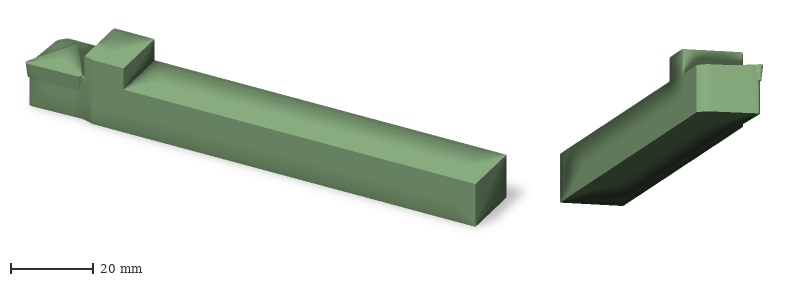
import cadquery as cq
import math

length = 124.4
width = 16.0
shank_height = 12.1
seat_height = 11.7
shoulder_height = 18.0
shoulder_start = 16.2
shoulder_end = 27.4

end_lean = 3.5
end_x = 0.7
head_front_y = 0.6
front_corner_radius = 0.7
relief_start = 14.4
relief_end = 18.7
back_chamfer_x = 3.5
back_corner_radius = 2.6

insert_thickness = 4.0
insert_turn = 1.5
insert_clearance = 7.0
nose_radius = 0.81
nose_spacing = 13.6


def polar(start, distance, angle):
    """Point at a distance and an angle in degrees from a start point."""
    a = math.radians(angle)
    return (start[0] + distance * math.cos(a), start[1] + distance * math.sin(a))


def make_blank():
    """Head and shank outline at full shoulder height."""
    lean = math.tan(math.radians(end_lean))
    corner_y = (width - back_chamfer_x + end_x - head_front_y * lean) / (1 - lean)
    corner_x = end_x + (corner_y - head_front_y) * lean
    front_rise = (relief_start - end_x) * math.tan(math.radians(insert_turn))
    blank = (
        cq.Workplane("XY")
        .moveTo(end_x, head_front_y)
        .lineTo(relief_start, head_front_y + front_rise)
        .tangentArcPoint((relief_end, 0), relative=False)
        .lineTo(length, 0)
        .lineTo(length, width)
        .lineTo(back_chamfer_x, width)
        .lineTo(corner_x, corner_y)
        .close()
        .extrude(shoulder_height)
    )
    tall = shoulder_height / 2
    blank = blank.edges(cq.NearestToPointSelector((end_x, head_front_y, tall))).fillet(front_corner_radius)
    return blank.edges(cq.NearestToPointSelector((corner_x, corner_y, tall))).fillet(back_corner_radius)


def box_above(x_start, x_end, z):
    """Block that clears everything above z between two X positions."""
    return cq.Workplane("XY").box(
        x_end - x_start, width, shoulder_height - z, centered=False
    ).translate((x_start, 0, z))


def insert_outline(inset):
    """Triangle with two rounded front noses and a sharp rear corner."""
    radius = nose_radius - inset
    left = (nose_radius, nose_radius)
    right = polar(left, nose_spacing, insert_turn)
    apex_center = polar(left, nose_spacing, insert_turn + 60)
    return [
        polar(left, radius, insert_turn - 90),
        polar(right, radius, insert_turn - 90),
        polar(right, radius, insert_turn - 30),
        polar(right, radius, insert_turn + 30),
        polar(apex_center, 2 * radius, insert_turn + 90),
        polar(left, radius, insert_turn + 150),
        polar(left, radius, insert_turn + 210),
    ]


def draw_insert_outline(plane, inset):
    front_left, front_right, right_nose, right_side, apex, left_side, left_nose = insert_outline(inset)
    return (
        plane.moveTo(*front_left)
        .lineTo(*front_right)
        .threePointArc(right_nose, right_side)
        .lineTo(*apex)
        .lineTo(*left_side)
        .threePointArc(left_nose, front_left)
        .close()
    )


def make_insert():
    inset = insert_thickness * math.tan(math.radians(insert_clearance))
    base = cq.Workplane("XY").workplane(offset=shank_height - insert_thickness)
    bottom = draw_insert_outline(base, inset)
    top = draw_insert_outline(bottom.workplane(offset=insert_thickness), 0)
    return top.loft(ruled=True)


def make_holder(insert):
    holder = make_blank()
    holder = holder.cut(box_above(0, shoulder_start, seat_height))
    holder = holder.cut(box_above(shoulder_end, length, shank_height))
    return holder.cut(insert).solids()


insert = make_insert()
holder = make_holder(insert)
result = cq.Compound.makeCompound([holder.val(), insert.val()])